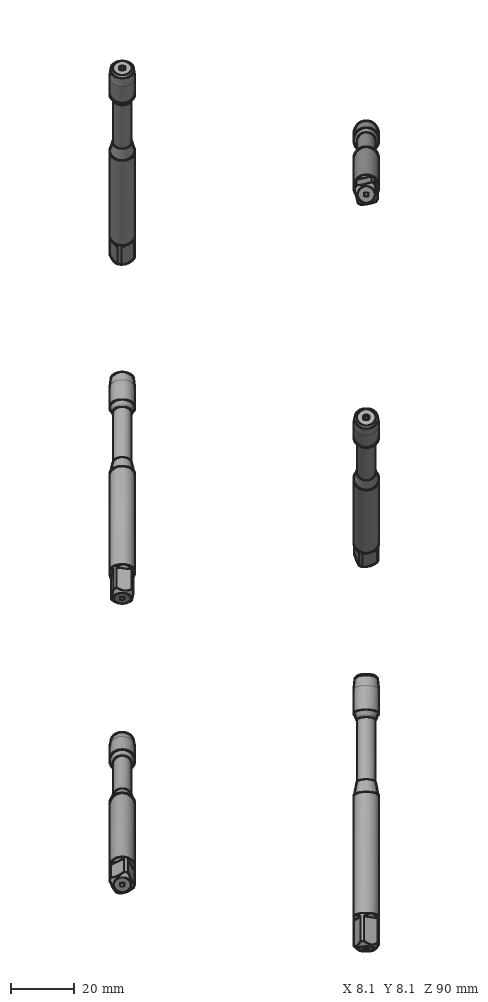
import cadquery as cq

length = 90.0
flat_top = 9.5
drive_top = 10.6
shank_top = 50.7
shoulder_top = 54.8
neck_bottom = 55.2
neck_top = 75.7
head_cone_bottom = 76.2
head_bottom = 77.85
lead_bottom = 85.8
lead_top = 89.3

body_diameter = 8.1
drive_diameter = 8.0
drive_end_diameter = 5.4
shoulder_large_diameter = 7.7
shoulder_small_diameter = 6.2
neck_diameter = 5.9
head_cone_small_diameter = 6.5
head_cone_large_diameter = 7.7
lead_diameter = 7.4
tip_diameter = 5.9
coolant_diameter = 1.4
coolant_mouth_diameter = 2.0

across_flats = 6.5
coolant_mouth_depth = 0.3


def make_body():
    """Revolve the stepped half-profile about the tool axis."""
    drive_chamfer = (drive_diameter - drive_end_diameter) / 2
    sections = [
        (drive_end_diameter, 0),
        (drive_diameter, drive_chamfer),
        (drive_diameter, drive_top),
        (body_diameter, drive_top),
        (body_diameter, shank_top),
        (shoulder_large_diameter, shank_top),
        (shoulder_small_diameter, shoulder_top),
        (neck_diameter, neck_bottom),
        (neck_diameter, neck_top),
        (head_cone_small_diameter, head_cone_bottom),
        (head_cone_large_diameter, head_bottom),
        (body_diameter, head_bottom),
        (body_diameter, lead_bottom),
        (lead_diameter, lead_top),
        (tip_diameter, length),
    ]
    outline = [(diameter / 2, height) for diameter, height in sections]
    outline = [(0, 0)] + outline + [(0, length)]
    return cq.Workplane("XZ").polyline(outline).close().revolve(360, (0, 0), (0, 1))


def make_flat_cutter():
    """Block that cuts the +X drive flat, sloping outward from its top edge."""
    inner = across_flats / 2
    outer = body_diameter / 2
    outline = [(inner, 0), (outer, 0), (outer, drive_top), (inner, flat_top)]
    return cq.Workplane("XZ").polyline(outline).close().extrude(body_diameter / 2, both=True)


def make_coolant_hole():
    """Axial through hole with a countersunk mouth at the tip."""
    mouth_bottom = length - coolant_mouth_depth
    outline = [
        (0, 0),
        (coolant_diameter / 2, 0),
        (coolant_diameter / 2, mouth_bottom),
        (coolant_mouth_diameter / 2, length),
        (0, length),
    ]
    return cq.Workplane("XZ").polyline(outline).close().revolve(360, (0, 0), (0, 1))


result = make_body()
for angle in (0, 90, 180, 270):
    result = result.cut(make_flat_cutter().rotate((0, 0, 0), (0, 0, 1), angle))
result = result.cut(make_coolant_hole())